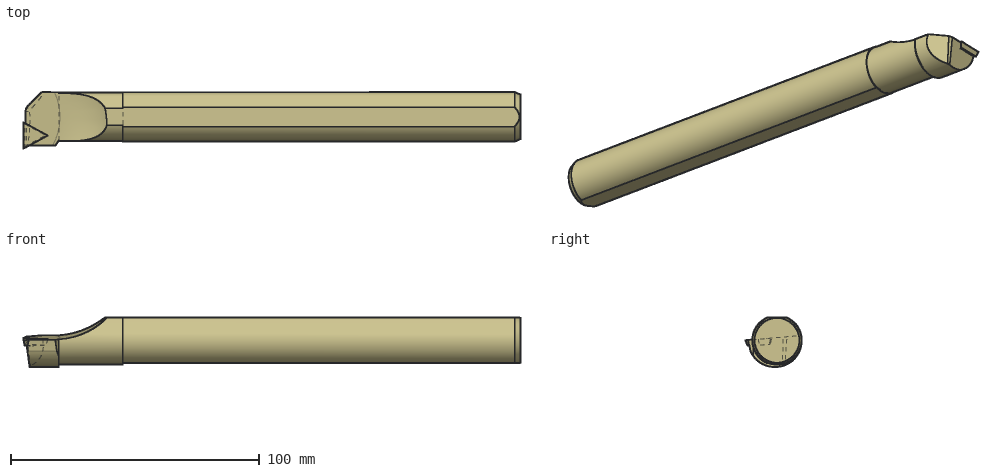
import cadquery as cq
import math

TOTAL_LENGTH = 200.0

SHANK_RADIUS = 10.0
FLAT_HEIGHT = 9.2
SHANK_START = 40.0
END_CHAMFER_LENGTH = 2.4
END_CHAMFER_DEPTH = 1.0

NECK_RADIUS = 9.8

HEAD_RADIUS = 10.8
HEAD_CENTER_Y = SHANK_RADIUS - HEAD_RADIUS
HEAD_END = 14.2
HEAD_SIDE_Y = HEAD_CENTER_Y - HEAD_RADIUS
END_BEVEL_LENGTH = 1.4
END_BEVEL_DEPTH = 2.0
HEAD_TOP = 2.4
FACE_X = 0.5
FACE_RELIEF = 8.0
FACET_START_Y = 2.4
FACET_END_X = 1.2
FACET_END_Y = 4.0
SIDE_RELIEF_HEIGHT = 4.2

RAKE_ANGLE = 5.0
RAKE_HEIGHT = 1.2

SCOOP_END = 33.4
SCOOP_FLOOR_END = 14.5
SCOOP_FLOOR_RADIUS = 24.0

TIP_Y = -12.8
INSERT_EDGE = 10.5
INSERT_DEPTH = 9.8
INSERT_THICKNESS = 2.4
INSERT_CLEARANCE = 11.0

CLEAR = 40.0


def rod(radius, center_y, start, end):
    """Round bar along X."""
    return cq.Workplane("YZ", origin=(start, center_y, 0)).circle(radius).extrude(end - start)


def on_rake_face(shape):
    """Move a shape built on Z = 0 onto the tilted rake face."""
    return shape.rotate((0, 0, 0), (1, 0, 0), RAKE_ANGLE).translate((0, 0, RAKE_HEIGHT))


def make_shank():
    chamfer_start = TOTAL_LENGTH - END_CHAMFER_LENGTH
    profile = [
        (SHANK_START, 0),
        (SHANK_START, SHANK_RADIUS),
        (chamfer_start, SHANK_RADIUS),
        (TOTAL_LENGTH, SHANK_RADIUS - END_CHAMFER_DEPTH),
        (TOTAL_LENGTH, 0),
    ]
    shank = cq.Workplane("XY").polyline(profile).close().revolve(360, (0, 0, 0), (1, 0, 0))
    between_flats = cq.Workplane("XY").box(2 * TOTAL_LENGTH, CLEAR, 2 * FLAT_HEIGHT)
    return shank.intersect(between_flats)


def make_neck():
    neck = rod(NECK_RADIUS, 0, HEAD_END, SHANK_START)
    above_flat = cq.Workplane("XY", origin=(0, 0, FLAT_HEIGHT)).rect(2 * CLEAR, CLEAR).extrude(CLEAR)
    return neck.cut(above_flat)


def make_head():
    """Round head with a relieved front face, corner facets and a relieved -Y side."""
    head = rod(HEAD_RADIUS, HEAD_CENTER_Y, 0, HEAD_END)
    corner_run = CLEAR - FACET_END_Y
    outline = [
        (FACE_X, -CLEAR),
        (FACE_X, FACET_START_Y),
        (FACET_END_X, FACET_END_Y),
        (FACET_END_X + corner_run, CLEAR),
        (2 * CLEAR, CLEAR),
        (2 * CLEAR, -CLEAR),
    ]
    relieved = (
        cq.Workplane("XY", origin=(0, 0, HEAD_TOP))
        .polyline(outline).close()
        .extrude(-2 * HEAD_RADIUS, taper=FACE_RELIEF)
    )
    head = head.intersect(relieved)

    chord_end_y = HEAD_CENTER_Y - math.sqrt(HEAD_RADIUS**2 - SIDE_RELIEF_HEIGHT**2)
    side_relief = (
        cq.Workplane("YZ")
        .polyline([
            (HEAD_SIDE_Y, 0),
            (chord_end_y, -SIDE_RELIEF_HEIGHT),
            (HEAD_SIDE_Y, -SIDE_RELIEF_HEIGHT),
        ])
        .close().extrude(HEAD_END)
    )
    end_bevel = (
        cq.Workplane("XY", origin=(0, 0, -CLEAR))
        .polyline([
            (HEAD_END - END_BEVEL_LENGTH, HEAD_SIDE_Y),
            (HEAD_END, HEAD_SIDE_Y + END_BEVEL_DEPTH),
            (HEAD_END, HEAD_SIDE_Y),
        ])
        .close().extrude(2 * CLEAR)
    )
    return head.cut(side_relief).cut(end_bevel)


def make_scoop():
    """Flat-bottomed cutter whose rim curves up, tangent to its floor."""
    rise = FLAT_HEIGHT - RAKE_HEIGHT
    run = SCOOP_END - SCOOP_FLOOR_END
    rim_radius = (run**2 + rise**2) / (2 * rise)
    sweep = math.radians(60)

    def rim_point(angle):
        return (
            SCOOP_FLOOR_RADIUS + rim_radius * math.sin(angle),
            rim_radius * (1 - math.cos(angle)),
        )

    top = rim_point(sweep)
    cutter = (
        cq.Workplane("XZ")
        .lineTo(SCOOP_FLOOR_RADIUS, 0)
        .threePointArc(rim_point(sweep / 2), top)
        .lineTo(0, top[1])
        .close()
        .revolve(360, (0, 0, 0), (0, 1, 0))
        .translate((SCOOP_FLOOR_END - SCOOP_FLOOR_RADIUS, 0, 0))
    )
    return on_rake_face(cutter)


def insert_outline(inset):
    """Insert triangle about its center line, with every edge moved inward by the inset."""
    half_apex = math.atan2(INSERT_EDGE / 2, INSERT_DEPTH)
    apex_x = INSERT_DEPTH - inset / math.sin(half_apex)
    half_edge = (apex_x - inset) * math.tan(half_apex)
    return [(inset, -half_edge), (apex_x, 0), (inset, half_edge)]


def make_insert():
    """Triangular plate, largest at its top face, lying flush with the rake face."""
    tip_along_rake = TIP_Y / math.cos(math.radians(RAKE_ANGLE))
    bottom_inset = INSERT_THICKNESS * math.tan(math.radians(INSERT_CLEARANCE))
    plate = (
        cq.Workplane("XY", origin=(0, 0, -INSERT_THICKNESS))
        .polyline(insert_outline(bottom_inset)).close()
        .workplane(offset=INSERT_THICKNESS)
        .polyline(insert_outline(0)).close()
        .loft(ruled=True)
        .translate((0, tip_along_rake + INSERT_EDGE / 2, 0))
    )
    return on_rake_face(plate)


insert = make_insert()
holder = make_shank().union(make_neck()).union(make_head()).cut(make_scoop()).cut(insert)

result = cq.Compound.makeCompound([holder.solids().val(), insert.val()])